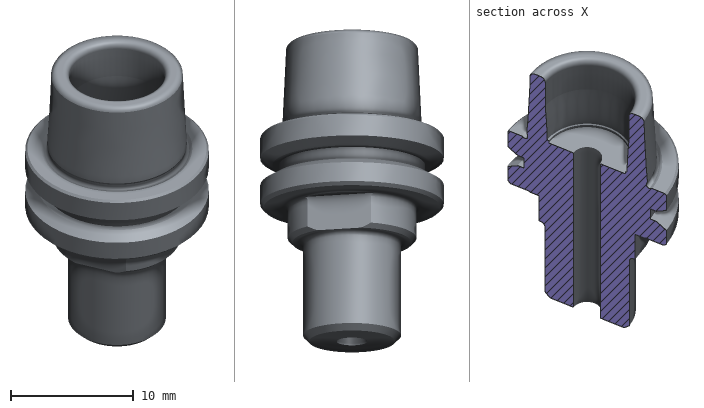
import cadquery as cq
import math

flange_radius = 14.98 / 2
waist_radius = 11.95 / 2
neck_radius = 11.22 / 2
collar_radius = 5.25
shank_radius = 8.0 / 2
through_hole_radius = 2.5 / 2

collar_bottom = 8.32
flange_bottom = 11.28
flange_top = 17.3
taper_bottom = 17.8
total_height = 25.0

shank_chamfer = 0.5
shank_fillet = 0.38
collar_chamfer = 0.38
collar_fillet = 0.32

flange_bottom_chamfer = 0.28
flange_top_chamfer = 0.18
groove_middle = 14.28
waist_height = 1.1
groove_opening = 2.25
groove_flank_radius = 6.5

recess_outer_radius = 6.15
recess_floor_radius = 5.9
recess_depth = 0.12
neck_fillet = 0.25
taper_undercut_height = 0.18
neck_top = taper_bottom - taper_undercut_height

taper_bottom_radius = 5.7
taper_top_radius = 5.38
rim_outer_radius = 4.85
rim_drop = 0.35
rim_inner_radius = 8.85 / 2

socket_radius = 7.82 / 2
socket_step = 21.75
socket_taper_bottom = 18.0
socket_taper_bottom_radius = 3.72
socket_floor = 17.75
socket_floor_radius = 3.58

flat_distance = 4.52
flat_end_gap = 0.08
flat_top = flange_bottom - flat_end_gap


def rim_arc_middle():
    """Middle of the arc that leaves the flat rim tangentially and ends at the taper."""
    rim_width = taper_top_radius - rim_outer_radius
    arc_radius = (rim_width**2 + rim_drop**2) / (2 * rim_drop)
    half_angle = math.asin(rim_width / arc_radius) / 2
    return (
        rim_outer_radius + arc_radius * math.sin(half_angle),
        total_height - arc_radius * (1 - math.cos(half_angle)),
    )


def make_body():
    """Revolve the outer half-outline, drawn from the bottom up."""
    waist_bottom = groove_middle - waist_height / 2
    waist_top = groove_middle + waist_height / 2
    groove_bottom = groove_middle - groove_opening / 2
    groove_top = groove_middle + groove_opening / 2
    recess_floor = flange_top - recess_depth
    outline = (
        cq.Workplane("XZ")
        .lineTo(shank_radius - shank_chamfer, 0)
        .lineTo(shank_radius, shank_chamfer)
        .lineTo(shank_radius, collar_bottom - shank_fillet)
        .radiusArc((shank_radius + shank_fillet, collar_bottom), shank_fillet)
        .lineTo(collar_radius - collar_chamfer, collar_bottom)
        .lineTo(collar_radius, collar_bottom + collar_chamfer)
        .lineTo(collar_radius, flange_bottom - collar_fillet)
        .radiusArc((collar_radius + collar_fillet, flange_bottom), collar_fillet)
        .lineTo(flange_radius - flange_bottom_chamfer, flange_bottom)
        .lineTo(flange_radius, flange_bottom + flange_bottom_chamfer)
        .lineTo(flange_radius, groove_bottom)
        .lineTo(groove_flank_radius, waist_bottom)
        .lineTo(waist_radius, waist_bottom)
        .lineTo(waist_radius, waist_top)
        .lineTo(groove_flank_radius, waist_top)
        .lineTo(flange_radius, groove_top)
        .lineTo(flange_radius, flange_top - flange_top_chamfer)
        .lineTo(flange_radius - flange_top_chamfer, flange_top)
        .lineTo(recess_outer_radius, flange_top)
        .lineTo(recess_floor_radius, recess_floor)
        .lineTo(neck_radius + neck_fillet, recess_floor)
        .radiusArc((neck_radius, recess_floor + neck_fillet), neck_fillet)
        .lineTo(neck_radius, neck_top)
        .lineTo(taper_bottom_radius, taper_bottom)
        .lineTo(taper_top_radius, total_height - rim_drop)
        .threePointArc(rim_arc_middle(), (rim_outer_radius, total_height))
        .lineTo(0, total_height)
        .close()
    )
    return outline.revolve(360, (0, 0, 0), (0, 1, 0))


def make_socket():
    """Revolve the socket with its rounded mouth, open at the top of the nose."""
    mouth_fillet = rim_inner_radius - socket_radius
    outline = (
        cq.Workplane("XZ")
        .moveTo(0, socket_floor)
        .lineTo(socket_floor_radius, socket_floor)
        .lineTo(socket_floor_radius, socket_taper_bottom)
        .lineTo(socket_taper_bottom_radius, socket_taper_bottom)
        .lineTo(socket_radius, socket_step)
        .lineTo(socket_radius, total_height - mouth_fillet)
        .radiusArc((rim_inner_radius, total_height), mouth_fillet)
        .lineTo(0, total_height)
        .close()
    )
    return outline.revolve(360, (0, 0, 0), (0, 1, 0))


def make_flat_cutter(side):
    """Block that removes the collar beyond one wrench flat; side is -1 or 1."""
    depth = flange_radius - flat_distance
    height = flat_top - collar_bottom
    return (
        cq.Workplane("XY")
        .box(2 * flange_radius, depth, height)
        .translate((0, side * (flat_distance + depth / 2), collar_bottom + height / 2))
    )


through_hole = cq.Workplane("XY").circle(through_hole_radius).extrude(total_height)

result = make_body().cut(make_socket()).cut(through_hole)
for side in (-1, 1):
    result = result.cut(make_flat_cutter(side))